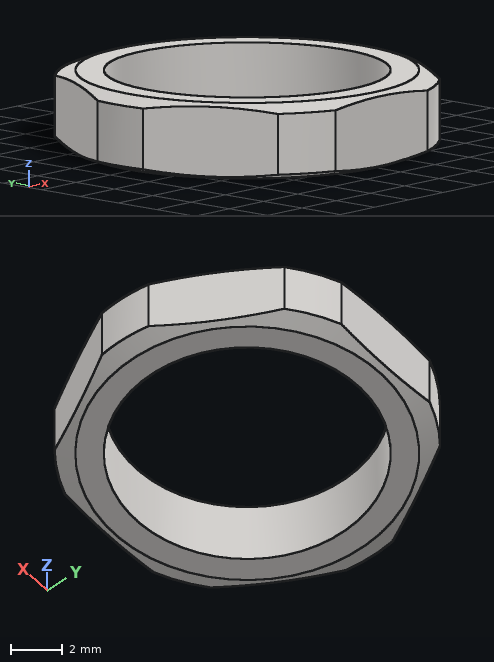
import cadquery as cq
import math

outer_diameter = 14.99
across_flats = 14.0
thickness = 3.0
bore_diameter = 11.15
face_diameter = 13.37
chamfer_angle = 20.0

outer_radius = outer_diameter / 2
face_radius = face_diameter / 2
chamfer_height = (outer_radius - face_radius) * math.tan(math.radians(chamfer_angle))
across_corners = across_flats / math.cos(math.radians(30))


def hexagon_prism():
    """Hexagonal blank with corners on the X axis and flats facing +Y and -Y."""
    return cq.Workplane("XY").polygon(6, across_corners).extrude(thickness)


def chamfered_disc():
    """Round envelope with a shallow conical chamfer at both ends."""
    profile = [
        (0, 0),
        (face_radius, 0),
        (outer_radius, chamfer_height),
        (outer_radius, thickness - chamfer_height),
        (face_radius, thickness),
        (0, thickness),
    ]
    return cq.Workplane("XZ").polyline(profile).close().revolve(360, (0, 0, 0), (0, 1, 0))


def bore():
    """Plain through hole."""
    return cq.Workplane("XY").circle(bore_diameter / 2).extrude(thickness)


result = hexagon_prism().intersect(chamfered_disc()).cut(bore())